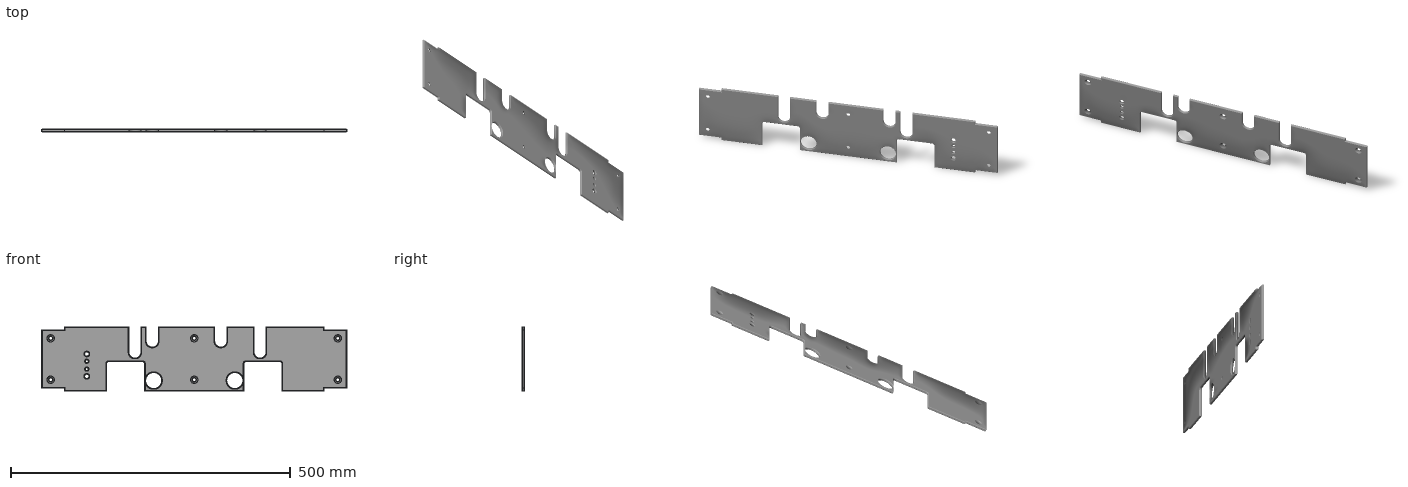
import cadquery as cq

LENGTH = 545.0
THICKNESS = 5.0
HEIGHT = 115.0
FRONT_Y = -THICKNESS / 2

RIM_CHAMFER = 1.0

TONGUE_LENGTH = 41.0
TONGUE_HEIGHT = 104.0

NOTCH_INNER_X = 88.5
NOTCH_OUTER_X = 157.0
NOTCH_TOP_Z = -4.5
NOTCH_CORNER_RADIUS = 4.0

SLOT_WIDTH = 22.0
DEEP_SLOT_BOTTOM_Z = 1.5
SHALLOW_SLOT_BOTTOM_Z = 21.0
SLOTS = [
    (-106.0, DEEP_SLOT_BOTTOM_Z),
    (-75.0, SHALLOW_SLOT_BOTTOM_Z),
    (47.5, SHALLOW_SLOT_BOTTOM_Z),
    (117.5, DEEP_SLOT_BOTTOM_Z),
]

OPENING_DIAMETER = 29.0
OPENING_X = 72.5
OPENING_Z = -38.5

SCREW_DIAMETER = 6.6
SCREW_HEAD_DIAMETER = 13.0
COUNTERSINK_ANGLE = 90.0
SCREW_COLUMN_PITCH = 256.5
SCREW_Z = 37.0

COLUMN_X = -192.0
COLUMN_CENTRE_Z = -11.0
LARGE_HOLE_DIAMETER = 8.0
LARGE_HOLE_SPACING = 40.0
SMALL_HOLE_DIAMETER = 5.5
SMALL_HOLE_SPACING = 14.0


def block(x_min, x_max, z_min, z_max):
    """Box through the full plate thickness."""
    return cq.Workplane("XY").box(x_max - x_min, THICKNESS, z_max - z_min).translate(
        ((x_min + x_max) / 2, 0, (z_min + z_max) / 2)
    )


def front_plane():
    """Sketch plane on the front face, with local X, Y along global X, Z."""
    return cq.Workplane("XZ", origin=(0, FRONT_Y, 0))


def cylinder(x, z, diameter):
    """Round cutter through the full plate thickness."""
    return front_plane().center(x, z).circle(diameter / 2).extrude(-THICKNESS)


def chamfered_hole(x, z, diameter):
    """Cutter for a through hole whose front and back rims are chamfered."""
    flare = (
        front_plane()
        .center(x, z)
        .circle(diameter / 2 + RIM_CHAMFER)
        .workplane(offset=-RIM_CHAMFER)
        .circle(diameter / 2)
        .loft(ruled=True)
    )
    return cylinder(x, z, diameter).union(flare).union(flare.mirror("XZ"))


def make_plate():
    body_half = LENGTH / 2 - TONGUE_LENGTH
    body = block(-body_half, body_half, -HEIGHT / 2, HEIGHT / 2)
    tongues = block(-LENGTH / 2, LENGTH / 2, -TONGUE_HEIGHT / 2, TONGUE_HEIGHT / 2)
    return body.union(tongues)


def cut_notches(plate):
    notch = block(NOTCH_INNER_X, NOTCH_OUTER_X, -HEIGHT / 2, NOTCH_TOP_Z)
    notch = notch.edges("|Y and >Z").fillet(NOTCH_CORNER_RADIUS)
    return plate.cut(notch).cut(notch.mirror("YZ"))


def cut_slots(plate):
    radius = SLOT_WIDTH / 2
    for x, bottom_z in SLOTS:
        arc_z = bottom_z + radius
        plate = plate.cut(block(x - radius, x + radius, arc_z, HEIGHT / 2))
        plate = plate.cut(cylinder(x, arc_z, SLOT_WIDTH))
    return plate


def chamfer_outline(plate):
    return plate.faces("<Y or >Y").edges().chamfer(RIM_CHAMFER)


def cut_openings(plate):
    for x in (-OPENING_X, OPENING_X):
        plate = plate.cut(chamfered_hole(x, OPENING_Z, OPENING_DIAMETER))
    return plate


def cut_screw_holes(plate):
    points = [
        (column * SCREW_COLUMN_PITCH, row * SCREW_Z)
        for column in (-1, 0, 1)
        for row in (-1, 1)
    ]
    front = plate.faces("<Y").workplane(origin=(0, FRONT_Y, 0)).pushPoints(points)
    return front.cskHole(SCREW_DIAMETER, SCREW_HEAD_DIAMETER, COUNTERSINK_ANGLE)


def cut_hole_column(plate):
    for side in (-1, 1):
        large_z = COLUMN_CENTRE_Z + side * LARGE_HOLE_SPACING / 2
        small_z = COLUMN_CENTRE_Z + side * SMALL_HOLE_SPACING / 2
        plate = plate.cut(chamfered_hole(COLUMN_X, large_z, LARGE_HOLE_DIAMETER))
        plate = plate.cut(chamfered_hole(COLUMN_X, small_z, SMALL_HOLE_DIAMETER))
    return plate


result = make_plate()
result = cut_notches(result)
result = cut_slots(result)
result = chamfer_outline(result)
result = cut_openings(result)
result = cut_screw_holes(result)
result = cut_hole_column(result)